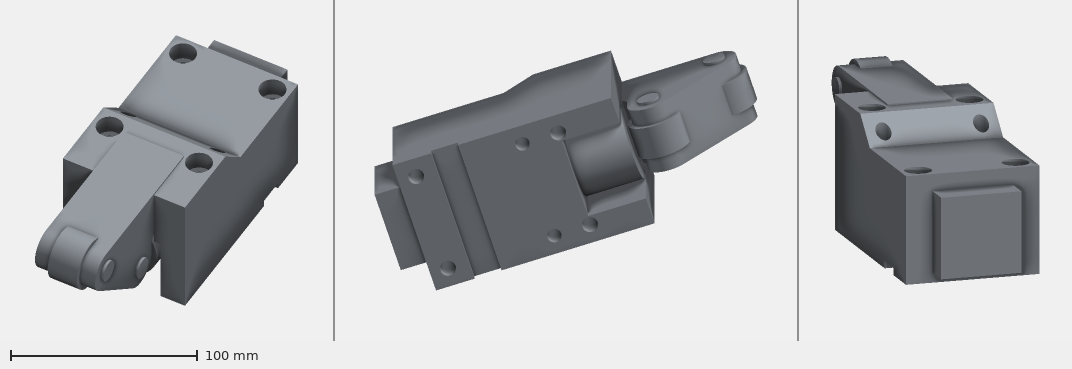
import cadquery as cq
import math


housing_width = 75.0
housing_length = 123.0
front_height = 75.0
rear_height = 60.0
slope_front_y = 43.9
slope_rear_y = 60.5

connector_size = 45.0
connector_length = 15.0
connector_base_z = 5.5

groove_front_y = 86.0
groove_width = 15.2
groove_depth = 3.9

hole_diameter = 8.6
slope_hole_diameter = 7.8
hole_x = 27.5
front_hole_y = 33.0
slope_hole_y = 53.0
rear_hole_y = 113.0
counterbore_diameter = 15.0
counterbore_depth = 11.3

slot_depth = 32.5
pocket_width = 45.0
pocket_height = 39.5

plunger_radius = 20.0
plunger_z = 28.3
plunger_top_z = plunger_z + plunger_radius

lever_width = 37.0
lobe_radius = 12.0
roller_radius = 15.0
roller_width = 18.0
pin_diameter = 12.0
pin_length = 40.2
upper_pivot_y = -52.0
upper_pivot_z = 64.0
lower_pivot_y = -roller_radius
lower_pivot_z = 33.2
neck_start_z = 40.0
neck_top_z = 45.0


def box(width, y_front, length, z_base, height):
    """Box centred on X = 0 that reaches back from y_front and up from z_base."""
    return cq.Workplane("XY").box(width, length, height, centered=(True, False, False)).translate(
        (0, y_front, z_base)
    )


def cross_cylinder(radius, length, y, z):
    """Cylinder along X, centred on X = 0."""
    return cq.Workplane("YZ").center(y, z).circle(radius).extrude(length / 2, both=True)


def hole_pair(y, diameter, floor_z):
    """Two cylinders mirrored about X = 0 that clear everything above floor_z."""
    return (
        cq.Workplane("XY", origin=(0, 0, floor_z))
        .pushPoints([(-hole_x, y), (hole_x, y)])
        .circle(diameter / 2)
        .extrude(front_height - floor_z)
    )


def make_housing():
    block = (
        cq.Workplane("YZ")
        .moveTo(0, 0)
        .lineTo(0, front_height)
        .lineTo(slope_front_y, front_height)
        .lineTo(slope_rear_y, rear_height)
        .lineTo(housing_length, rear_height)
        .lineTo(housing_length, 0)
        .close()
        .extrude(housing_width / 2, both=True)
    )
    connector = box(connector_size, housing_length, connector_length, connector_base_z, connector_size)
    block = block.union(connector)

    block = block.cut(box(housing_width, groove_front_y, groove_width, 0, groove_depth))
    block = block.cut(box(pocket_width, 0, slot_depth, 0, pocket_height))
    block = block.cut(box(lever_width, 0, slot_depth, 0, front_height))

    for y, top_z in ((front_hole_y, front_height), (rear_hole_y, rear_height)):
        block = block.cut(hole_pair(y, hole_diameter, 0))
        block = block.cut(hole_pair(y, counterbore_diameter, top_z - counterbore_depth))

    block = block.cut(hole_pair(slope_hole_y, slope_hole_diameter, 0))
    block = block.cut(hole_pair(slope_hole_y, hole_diameter, rear_height - counterbore_depth))
    return block


def make_plunger():
    return cq.Workplane("XZ", origin=(0, 0, plunger_z)).circle(plunger_radius).extrude(-slot_depth)


def lobe_point(pivot_y, pivot_z, angle):
    """Point on the rounded lever end around a pivot; the angle runs from +Y toward +Z."""
    return pivot_y + lobe_radius * math.cos(angle), pivot_z + lobe_radius * math.sin(angle)


def make_lever():
    pivot_line_angle = math.atan2(upper_pivot_z - lower_pivot_z, upper_pivot_y - lower_pivot_y)
    tangent_angle = pivot_line_angle + math.pi / 2
    upper_mid_angle = (math.pi / 2 + tangent_angle) / 2
    lower_mid_angle = (tangent_angle + 2 * math.pi) / 2
    neck_y = lower_pivot_y + lobe_radius

    lever = (
        cq.Workplane("YZ")
        .moveTo(slot_depth, plunger_top_z)
        .lineTo(slot_depth, upper_pivot_z + lobe_radius)
        .lineTo(upper_pivot_y, upper_pivot_z + lobe_radius)
        .threePointArc(
            lobe_point(upper_pivot_y, upper_pivot_z, upper_mid_angle),
            lobe_point(upper_pivot_y, upper_pivot_z, tangent_angle),
        )
        .lineTo(*lobe_point(lower_pivot_y, lower_pivot_z, tangent_angle))
        .threePointArc(
            lobe_point(lower_pivot_y, lower_pivot_z, lower_mid_angle),
            (neck_y, lower_pivot_z),
        )
        .lineTo(neck_y, neck_start_z)
        .tangentArcPoint((0, neck_top_z), relative=False)
        .lineTo(0, plunger_top_z)
        .close()
        .extrude(lever_width / 2, both=True)
    )
    for y, z in ((upper_pivot_y, upper_pivot_z), (lower_pivot_y, lower_pivot_z)):
        lever = lever.union(cross_cylinder(roller_radius, roller_width, y, z))
        lever = lever.union(cross_cylinder(pin_diameter / 2, pin_length, y, z))
    return lever


housing = make_housing()
plunger = make_plunger()
lever = make_lever()

result = cq.Compound.makeCompound([housing.val(), plunger.val(), lever.val()])